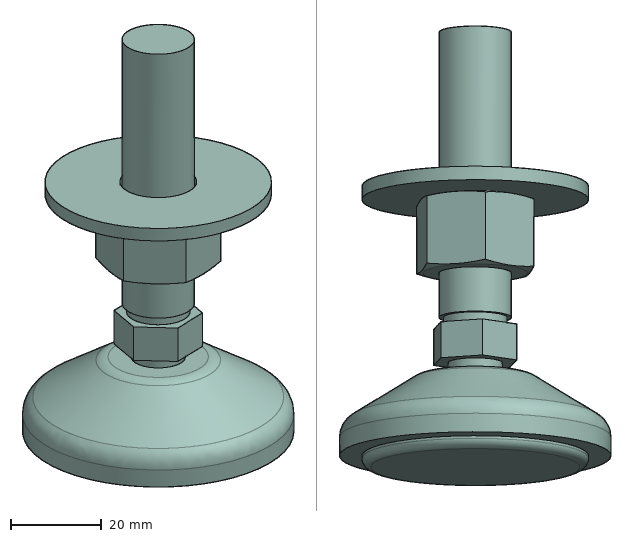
import cadquery as cq
import math

total_height = 97.5
pad_height = 2.5
foot_top = 20.6
wrench_bottom = 23.4
wrench_top = 31.5
thread_bottom = 33.5
nut_bottom = 43.5
nut_height = 16.5
washer_bottom = nut_bottom + nut_height

foot_diameter = 60.0
pad_diameter = 50.0
pad_fillet = 1.95
crown_diameter = 25.1
cone_angle = 32.6
shoulder_fillet = 5.0
cone_rise = (foot_diameter - crown_diameter) / 2 * math.tan(math.radians(cone_angle))

thread_diameter = 16.0
relief_diameter = 14.0
neck_diameter = 12.0
wrench_across_flats = 17.0

nut_across_flats = 24.0
nut_bearing_diameter = 23.0
nut_corner_drop = 0.7

washer_diameter = 50.0
washer_hole_diameter = 17.0
washer_thickness = 3.0


def across_corners(across_flats):
    """Corner-to-corner width of a regular hexagon."""
    return across_flats / math.cos(math.radians(30))


def cylinder(diameter, bottom, top):
    """Vertical cylinder on the common axis."""
    return cq.Workplane("XY").workplane(offset=bottom).circle(diameter / 2).extrude(top - bottom)


def hexagon(across_flats, bottom, top):
    """Vertical hexagonal prism with two corners on the X axis."""
    return (
        cq.Workplane("XY").workplane(offset=bottom)
        .polygon(6, across_corners(across_flats)).extrude(top - bottom)
    )


def make_foot():
    """Conical foot with rounded shoulders and a smaller pad underneath."""
    foot_radius = foot_diameter / 2
    crown_radius = crown_diameter / 2
    body = (
        cq.Workplane("XZ")
        .moveTo(0, pad_height)
        .lineTo(foot_radius, pad_height)
        .lineTo(foot_radius, foot_top - cone_rise)
        .lineTo(crown_radius, foot_top)
        .lineTo(0, foot_top)
        .close()
        .revolve(360, (0, 0, 0), (0, 1, 0))
        .faces("%CONE").edges("%CIRCLE").fillet(shoulder_fillet)
    )
    pad = cylinder(pad_diameter, 0, pad_height).faces("<Z").edges().fillet(pad_fillet)
    return body.union(pad)


def make_stud():
    """Threaded stud with a relief, a wrench hexagon and a neck standing on the foot."""
    neck = cylinder(neck_diameter, foot_top, wrench_bottom)
    wrench = hexagon(wrench_across_flats, wrench_bottom, wrench_top)
    relief = cylinder(relief_diameter, wrench_top, thread_bottom)
    thread = cylinder(thread_diameter, thread_bottom, total_height)
    return neck.union(wrench).union(relief).union(thread)


def make_nut():
    """Hexagon nut with conical chamfers on the corners at both ends."""
    bearing_radius = nut_bearing_diameter / 2
    corner_radius = across_corners(nut_across_flats) / 2
    envelope = (
        cq.Workplane("XZ")
        .moveTo(0, nut_bottom)
        .lineTo(bearing_radius, nut_bottom)
        .lineTo(corner_radius, nut_bottom + nut_corner_drop)
        .lineTo(corner_radius, washer_bottom - nut_corner_drop)
        .lineTo(bearing_radius, washer_bottom)
        .lineTo(0, washer_bottom)
        .close()
        .revolve(360, (0, 0, 0), (0, 1, 0))
    )
    bore = cylinder(thread_diameter, nut_bottom, washer_bottom)
    return hexagon(nut_across_flats, nut_bottom, washer_bottom).intersect(envelope).cut(bore)


def make_washer():
    """Flat washer resting on the nut, with clearance around the stud."""
    washer_top = washer_bottom + washer_thickness
    disc = cylinder(washer_diameter, washer_bottom, washer_top)
    return disc.cut(cylinder(washer_hole_diameter, washer_bottom, washer_top))


foot = make_foot()
stud = make_stud()
nut = make_nut()
washer = make_washer()

result = cq.Compound.makeCompound([foot.val(), stud.val(), nut.val(), washer.val()])